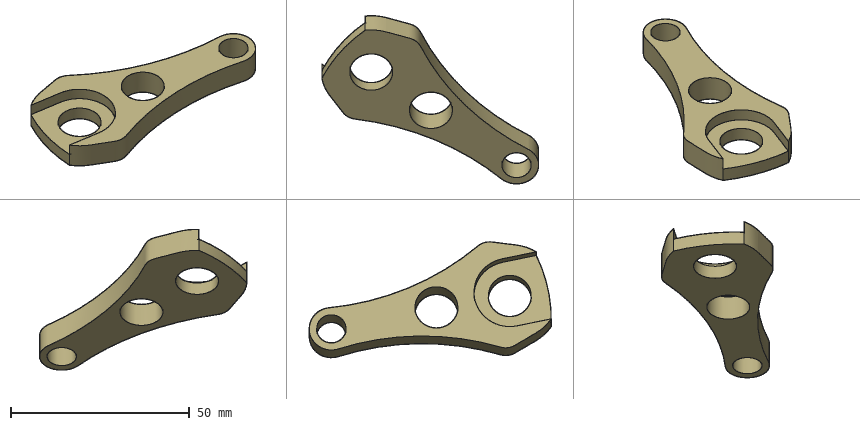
import cadquery as cq
import math

total_length = 68.1
thickness = 7.5
bore_diameter = 12.0
middle_hole_y = 21.0

eye_y = 51.0
eye_radius = 6.2
eye_hole_diameter = 8.2

waist_half_width = 5.7
waist_y = 42.25

overall_width = 31.5
shoulder_radius = 5.0
shoulder_y = 3.5

base_radius = 13.95
recess_radius = 10.0
recess_floor_z = 4.0

half_width = overall_width / 2
shoulder_x = half_width - shoulder_radius
eye_top_y = eye_y + eye_radius
base_bottom_y = eye_top_y - total_length

waist_to_shoulder = shoulder_x - waist_half_width
waist_rise = waist_y - shoulder_y
flank_radius = (waist_rise**2 + waist_to_shoulder**2 - shoulder_radius**2) / (
    2 * (shoulder_radius + waist_to_shoulder)
)
flank_x = waist_half_width + flank_radius

touch_ratio = shoulder_radius / (shoulder_radius + flank_radius)
shoulder_top = (
    shoulder_x + touch_ratio * (flank_x - shoulder_x),
    shoulder_y + touch_ratio * waist_rise,
)
eye_side_y = waist_y + math.sqrt(flank_radius**2 - (flank_x - eye_radius) ** 2)

shoulder_distance = math.hypot(shoulder_x, shoulder_y)
side_normal_angle = math.atan2(shoulder_y, shoulder_x) - math.acos(
    (base_radius - shoulder_radius) / shoulder_distance
)


def base_point(angle):
    """Point on the base circle at the given angle from +X."""
    return (base_radius * math.cos(angle), base_radius * math.sin(angle))


side_bottom = base_point(side_normal_angle)
shoulder_bottom = (
    shoulder_x + shoulder_radius * math.cos(side_normal_angle),
    shoulder_y + shoulder_radius * math.sin(side_normal_angle),
)
corner_angle = -math.acos(recess_radius / base_radius)
base_corner = base_point(corner_angle)
base_middle = base_point((side_normal_angle + corner_angle) / 2)


def mirrored(point):
    """Same point on the left side of the part."""
    return (-point[0], point[1])


def lever_body():
    waist = (waist_half_width, waist_y)
    shoulder_tip = (half_width, shoulder_y)
    eye_side = (eye_radius, eye_side_y)
    return (
        cq.Workplane("XY")
        .moveTo(*mirrored(base_corner))
        .threePointArc((0, base_bottom_y), base_corner)
        .threePointArc(base_middle, side_bottom)
        .lineTo(*shoulder_bottom)
        .threePointArc(shoulder_tip, shoulder_top)
        .threePointArc(waist, eye_side)
        .lineTo(eye_radius, eye_y)
        .threePointArc((0, eye_top_y), (-eye_radius, eye_y))
        .lineTo(*mirrored(eye_side))
        .threePointArc(mirrored(waist), mirrored(shoulder_top))
        .threePointArc(mirrored(shoulder_tip), mirrored(shoulder_bottom))
        .lineTo(*mirrored(side_bottom))
        .threePointArc(mirrored(base_middle), mirrored(base_corner))
        .close()
        .extrude(thickness)
    )


def through_hole(y, diameter):
    return cq.Workplane("XY").center(0, y).circle(diameter / 2).extrude(thickness)


def recess():
    """Round-ended pocket around the lower bore, open at the bottom edge."""
    return (
        cq.Workplane("XY", origin=(0, 0, recess_floor_z))
        .moveTo(-recess_radius, base_bottom_y)
        .lineTo(recess_radius, base_bottom_y)
        .lineTo(recess_radius, 0)
        .threePointArc((0, recess_radius), (-recess_radius, 0))
        .close()
        .extrude(thickness - recess_floor_z)
    )


result = lever_body().cut(recess())
for hole_y, hole_diameter in (
    (0, bore_diameter),
    (middle_hole_y, bore_diameter),
    (eye_y, eye_hole_diameter),
):
    result = result.cut(through_hole(hole_y, hole_diameter))